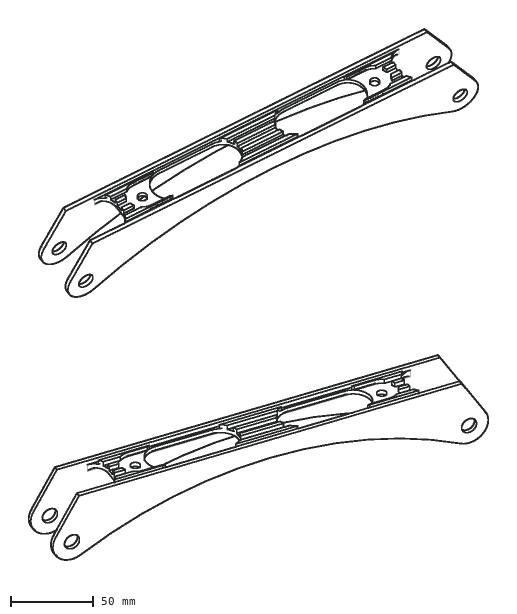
import cadquery as cq
import math

length = 294.5
width = 33.0
height = 46.0

wall = 3.0
end_radius = 13.0
pin_diameter = 10.0
top_half_length = 129.5
arch_height = 32.5

web_half_length = 100.0
web_thickness = 3.0
rib_height = 3.0
rib_width = 2.7
rib_offsets = (3.5, 9.7)
web_corner_radius = 9.5
inner_fillet = 1.8

slot_width = 24.0
slot_length = 62.5
slot_centre = 44.8
screw_diameter = 6.2
screw_offset = 83.5
screw_seat_width = 20.5

inner_width = width - 2 * wall
pin_y = length / 2 - end_radius
pin_z = end_radius
floor_z = height - rib_height
rib_length = 2 * (web_half_length + web_corner_radius)
web_bottom = floor_z - web_thickness


def wall_outline():
    """YZ outline of a wall: slanted shoulders, round ends and an arched lower edge."""
    drop = arch_height - pin_z
    arch_radius = (pin_y**2 + drop**2 - end_radius**2) / (2 * (drop + end_radius))
    arch_angle = math.atan2(pin_y, arch_radius - drop)
    arch_y = pin_y - end_radius * math.sin(arch_angle)
    arch_z = pin_z - end_radius * math.cos(arch_angle)

    corner_y = top_half_length - pin_y
    corner_z = height - pin_z
    corner_distance = math.hypot(corner_y, corner_z)
    shoulder_angle = math.atan2(corner_z, corner_y) - math.acos(end_radius / corner_distance)
    shoulder_y = pin_y + end_radius * math.cos(shoulder_angle)
    shoulder_z = pin_z + end_radius * math.sin(shoulder_angle)

    return (
        cq.Workplane("YZ")
        .moveTo(-top_half_length, height)
        .lineTo(top_half_length, height)
        .lineTo(shoulder_y, shoulder_z)
        .threePointArc((length / 2, pin_z), (arch_y, arch_z))
        .threePointArc((0, arch_height), (-arch_y, arch_z))
        .threePointArc((-length / 2, pin_z), (-shoulder_y, shoulder_z))
        .close()
    )


def channel():
    """Two walls joined by a web, hollow below and above the web floor."""
    body = wall_outline().extrude(width / 2, both=True)
    below = (
        cq.Workplane("XY")
        .box(inner_width, length, web_bottom, centered=(True, True, False))
        .edges("|Y and >Z")
        .fillet(inner_fillet)
    )
    above = (
        cq.Workplane("XY", origin=(0, 0, floor_z))
        .box(inner_width, length, rib_height, centered=(True, True, False))
    )
    return body.cut(below).cut(above)


def ribs():
    """Lengthwise ribs on the web floor, level with the wall tops; the end gaps trim them to the web."""
    places = [(side * offset, 0) for offset in rib_offsets for side in (-1, 1)]
    return (
        cq.Workplane("XY", origin=(0, 0, floor_z))
        .pushPoints(places)
        .rect(rib_width, rib_length)
        .extrude(rib_height)
    )


def end_gap(side):
    """Gap between the walls past one end of the web, with rounded inner corners."""
    gap_length = length / 2
    return (
        cq.Workplane("XY")
        .center(0, side * (web_half_length + gap_length / 2))
        .rect(inner_width, gap_length)
        .extrude(height)
        .edges("|Z")
        .fillet(web_corner_radius)
    )


def slots():
    """Two long openings through the web."""
    return (
        cq.Workplane("XY")
        .pushPoints([(0, -slot_centre), (0, slot_centre)])
        .slot2D(slot_length, slot_width, 90)
        .extrude(height)
    )


def screw_seats():
    """Clearings in the ribs around the screws: round outward, straight inward to the slots."""
    seat_length = screw_offset - slot_centre + screw_seat_width
    seat_centre = (screw_offset + slot_centre) / 2
    return (
        cq.Workplane("XY", origin=(0, 0, floor_z))
        .pushPoints([(0, -seat_centre), (0, seat_centre)])
        .slot2D(seat_length, screw_seat_width, 90)
        .extrude(rib_height)
    )


def screw_holes():
    """Upright screw holes through the web."""
    return (
        cq.Workplane("XY")
        .pushPoints([(0, -screw_offset), (0, screw_offset)])
        .circle(screw_diameter / 2)
        .extrude(height)
    )


def pin_holes():
    """Cross holes through both walls at each end."""
    return (
        cq.Workplane("YZ")
        .pushPoints([(-pin_y, pin_z), (pin_y, pin_z)])
        .circle(pin_diameter / 2)
        .extrude(width, both=True)
    )


result = channel().union(ribs())
for side in (-1, 1):
    result = result.cut(end_gap(side))
result = (
    result
    .cut(slots())
    .cut(screw_seats())
    .cut(screw_holes())
    .cut(pin_holes())
)